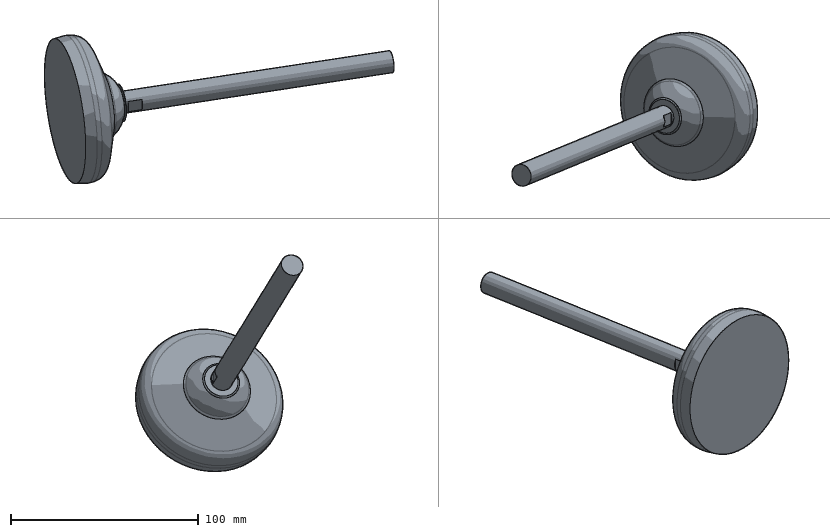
import cadquery as cq

total_length = 181.5
foot_diameter = 80.0

foot_radius = foot_diameter / 2
bottom_radius = 39.2
parting_height = 6.2
rim_top_height = 8.9
rim_top_radius = 39.7
shoulder_height = 16.0
shoulder_radius = 34.5
shoulder_mid_height = 12.9
shoulder_mid_radius = 38.5
cone_top_height = 22.1
cone_top_radius = 18.5
dome_base_height = 23.2
dome_base_radius = 17.5
dome_mid_height = 27.5
dome_mid_radius = 13.8
foot_height = 30.5
dome_top_radius = 9.0

rod_radius = 6.0
collar_radius = 10.2
collar_face_radius = 9.3
collar_thickness = 1.0
collar_crown = 0.4

flat_distance = 5.0
flat_start = 33.5
flat_length = 7.8

bottom_y = -total_length / 2
collar_bottom = bottom_y + foot_height
collar_top = collar_bottom + collar_thickness


def revolve_about_y(profile):
    return profile.close().revolve(360, (0, 0, 0), (0, 1, 0))


def make_foot():
    def point(radius, height):
        return (radius, bottom_y + height)

    profile = (
        cq.Workplane("XY")
        .moveTo(*point(0, 0))
        .lineTo(*point(bottom_radius, 0))
        .lineTo(*point(foot_radius, parting_height))
        .lineTo(*point(rim_top_radius, rim_top_height))
        .threePointArc(
            point(shoulder_mid_radius, shoulder_mid_height),
            point(shoulder_radius, shoulder_height),
        )
        .lineTo(*point(cone_top_radius, cone_top_height))
        .lineTo(*point(dome_base_radius, dome_base_height))
        .threePointArc(
            point(dome_mid_radius, dome_mid_height),
            point(dome_top_radius, foot_height),
        )
        .lineTo(*point(0, foot_height))
    )
    return revolve_about_y(profile)


def make_wrench_flat_cutter(side):
    """Block that removes the rod beyond the flat; side is -1 or +1 along X."""
    cut_depth = rod_radius - flat_distance
    return cq.Workplane("XY").box(cut_depth, flat_length, 2 * rod_radius).translate((
        side * (flat_distance + cut_depth / 2),
        bottom_y + flat_start + flat_length / 2,
        0,
    ))


def make_spindle():
    profile = (
        cq.Workplane("XY")
        .moveTo(0, collar_bottom)
        .lineTo(collar_face_radius, collar_bottom)
        .lineTo(collar_radius, collar_bottom + collar_thickness / 2)
        .lineTo(collar_face_radius, collar_top)
        .lineTo(rod_radius, collar_top + collar_crown)
        .lineTo(rod_radius, bottom_y + total_length)
        .lineTo(0, bottom_y + total_length)
    )
    spindle = revolve_about_y(profile)
    for side in (-1, 1):
        spindle = spindle.cut(make_wrench_flat_cutter(side))
    return spindle


foot = make_foot()
spindle = make_spindle()

result = cq.Compound.makeCompound([foot.val(), spindle.val()])